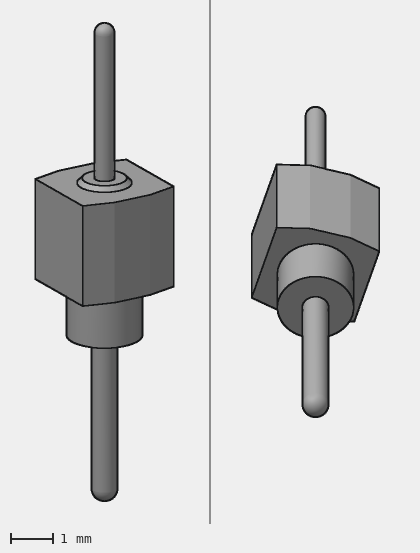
import cadquery as cq

total_height = 12.12
tail_length = 4.2
shoulder_height = 1.32
housing_height = 2.55
collar_height = 0.12
housing_bottom = shoulder_height
housing_top = housing_bottom + housing_height
collar_top = housing_top + collar_height
pin_top = total_height - tail_length
socket_bottom = housing_bottom

housing_width = 2.55
end_face_width = 2.16
side_flat_width = 0.99

barrel_radius = 0.65
collar_top_radius = barrel_radius - collar_height
shoulder_radius = 0.91
tail_radius = 0.32
pin_radius = 0.24


def cylinder(radius, bottom, top):
    return cq.Workplane("XY").workplane(offset=bottom).circle(radius).extrude(top - bottom)


def round_ended_rod(radius, bottom, top, rounded_end):
    """Rod with a hemispherical end; rounded_end is -1 for the bottom or 1 for the top."""
    straight_bottom = bottom + radius if rounded_end < 0 else bottom
    straight_top = top - radius if rounded_end > 0 else top
    dome_center = straight_bottom if rounded_end < 0 else straight_top
    dome = cq.Workplane("XY").sphere(radius).translate((0, 0, dome_center))
    return cylinder(radius, straight_bottom, straight_top).union(dome)


def make_housing():
    """Insulating block with bowed sides and a through bore for the contact barrel."""
    half_width = housing_width / 2
    half_end = end_face_width / 2
    half_flat = side_flat_width / 2
    outline = [
        (half_end, -half_width),
        (half_width, -half_flat),
        (half_width, half_flat),
        (half_end, half_width),
        (-half_end, half_width),
        (-half_width, half_flat),
        (-half_width, -half_flat),
        (-half_end, -half_width),
    ]
    block = (
        cq.Workplane("XY")
        .workplane(offset=housing_bottom)
        .polyline(outline)
        .close()
        .extrude(housing_height)
    )
    return block.cut(cylinder(barrel_radius, housing_bottom, housing_top))


def make_contact():
    """Turned contact: bevelled barrel, shoulder and tail, with a blind socket for the pin."""
    profile = [
        (0, 0),
        (shoulder_radius, 0),
        (shoulder_radius, housing_bottom),
        (barrel_radius, housing_bottom),
        (barrel_radius, housing_top),
        (collar_top_radius, collar_top),
        (0, collar_top),
    ]
    body = cq.Workplane("XZ").polyline(profile).close().revolve(360, (0, 0, 0), (0, 1, 0))
    tail = round_ended_rod(tail_radius, -tail_length, housing_bottom, -1)
    return body.union(tail).cut(cylinder(pin_radius, socket_bottom, collar_top))


def make_pin():
    """Thin pin seated in the contact socket, with a hemispherical tip."""
    return round_ended_rod(pin_radius, socket_bottom, pin_top, 1)


housing = make_housing().solids()
contact = make_contact().solids()
pin = make_pin().solids()

result = cq.Compound.makeCompound([housing.val(), contact.val(), pin.val()])